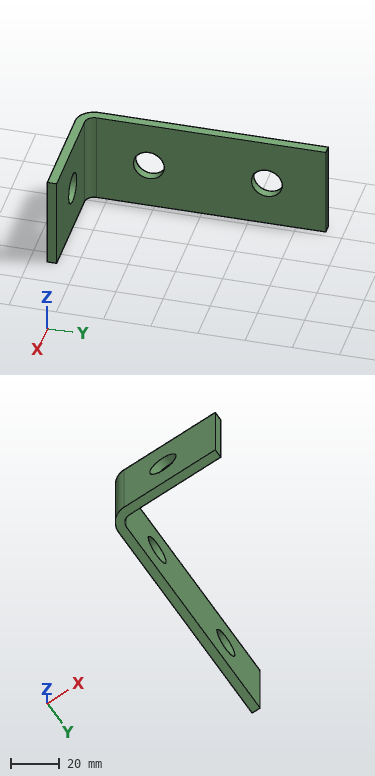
import cadquery as cq

short_leg = 53.4
long_leg = 105.15
height = 40.0
thickness = 4.0
inner_bend_radius = 4.0
hole_diameter = 13.0
short_leg_hole_from_end = 26.0
long_leg_hole_from_end = 25.0
long_leg_hole_spacing = 50.0
long_leg_hole_count = 2

outer_bend_radius = inner_bend_radius + thickness
mid_height = height / 2


def bent_strip():
    """L-shaped strip with its outer corner at the origin and a rounded bend."""
    outline = (
        cq.Workplane("XY")
        .moveTo(outer_bend_radius, 0)
        .lineTo(short_leg, 0)
        .lineTo(short_leg, thickness)
        .lineTo(outer_bend_radius, thickness)
        .radiusArc((thickness, outer_bend_radius), inner_bend_radius)
        .lineTo(thickness, long_leg)
        .lineTo(0, long_leg)
        .lineTo(0, outer_bend_radius)
        .radiusArc((outer_bend_radius, 0), -outer_bend_radius)
        .close()
    )
    return outline.extrude(height)


def hole_cutter(start, direction):
    """Cylinder that passes through one leg's thickness."""
    return cq.Workplane(
        cq.Solid.makeCylinder(hole_diameter / 2, thickness, cq.Vector(*start), cq.Vector(*direction))
    )


def cut_short_leg_hole(body):
    x = short_leg - short_leg_hole_from_end
    return body.cut(hole_cutter((x, 0, mid_height), (0, 1, 0)))


def cut_long_leg_holes(body):
    for index in range(long_leg_hole_count):
        y = long_leg - long_leg_hole_from_end - index * long_leg_hole_spacing
        body = body.cut(hole_cutter((0, y, mid_height), (1, 0, 0)))
    return body


result = cut_long_leg_holes(cut_short_leg_hole(bent_strip()))